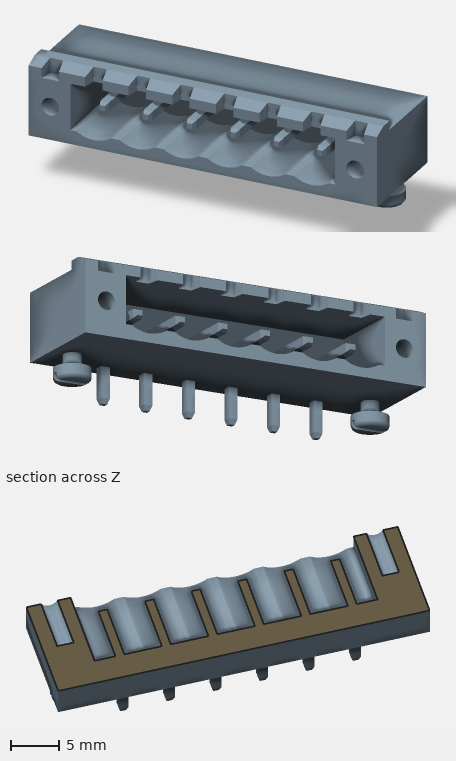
import cadquery as cq


pitch = 5.0
pin_count = 6
pin_xs = [(i - (pin_count - 1) / 2) * pitch for i in range(pin_count)]
flange_x = (pin_count + 1) / 2 * pitch
flange_xs = [-flange_x, flange_x]
notch_xs = [-flange_x] + pin_xs + [flange_x]

length = (pin_count + 2) * pitch
depth = 12.0
rear_height = 7.6
lip_height = 8.6
lip_depth = 3.0
lip_chamfer_run = 1.5
lip_chamfer_drop = 0.6

cavity_length = 30.4
cavity_depth = 9.0
cavity_floor = 1.6
cavity_ceiling = 6.9
scallop_width = 4.0
scallop_sag = 0.6

notch_front_width = 2.0
notch_back_width = 1.5

axis_height = 3.8
flange_hole_diameter = 2.0
flange_hole_depth = 6.0

pin_size = 1.0
pin_tip_size = 0.6
pin_tip_length = 0.6
pin_front_y = 2.0
pin_leg_y = 10.0
pin_drop = 4.0

screw_y = 7.5
shank_diameter = 2.0
shank_length = 1.5
head_diameter = 4.0
head_height = 1.5
head_fillet = 0.5
slot_width = 0.6
slot_depth = 0.8


def make_housing():
    """Box with a raised, chamfered lip along the top front edge."""
    profile = [
        (0, 0),
        (depth, 0),
        (depth, rear_height),
        (lip_depth, rear_height),
        (lip_depth, lip_height),
        (lip_chamfer_run, lip_height),
        (0, lip_height - lip_chamfer_drop),
    ]
    return cq.Workplane("YZ").polyline(profile).close().extrude(length / 2, both=True)


def make_cavity():
    """Mating opening whose floor dips in a shallow arc below each pin."""
    half_length = cavity_length / 2
    outline = cq.Workplane("XZ").moveTo(-half_length, cavity_ceiling).lineTo(-half_length, cavity_floor)
    for x in pin_xs:
        outline = outline.lineTo(x - scallop_width / 2, cavity_floor)
        outline = outline.threePointArc(
            (x, cavity_floor - scallop_sag),
            (x + scallop_width / 2, cavity_floor),
        )
    outline = outline.lineTo(half_length, cavity_floor).lineTo(half_length, cavity_ceiling)
    return outline.close().extrude(-cavity_depth)


def make_notch(x):
    """Tapered notch through the front lip, down to the cavity ceiling."""
    corners = [
        (x - notch_front_width / 2, 0),
        (x + notch_front_width / 2, 0),
        (x + notch_back_width / 2, lip_chamfer_run),
        (x - notch_back_width / 2, lip_chamfer_run),
    ]
    notch = cq.Workplane("XY").workplane(offset=cavity_ceiling)
    return notch.polyline(corners).close().extrude(lip_height - cavity_ceiling)


def make_flange_hole(x):
    """Blind hole opening on the mating face."""
    hole = cq.Workplane("XZ").center(x, axis_height).circle(flange_hole_diameter / 2)
    return hole.extrude(-flange_hole_depth)


def make_bar(plane, bar_length):
    """Square bar along the plane normal, with its far end tapered."""
    straight_length = bar_length - pin_tip_length
    bar = cq.Workplane(plane).rect(pin_size, pin_size).extrude(straight_length)
    tip = bar.faces(cq.selectors.DirectionMinMaxSelector(plane.zDir, True)).workplane()
    tip = tip.rect(pin_size, pin_size).workplane(offset=pin_tip_length)
    return tip.rect(pin_tip_size, pin_tip_size).loft(combine=True)


def make_pin(x):
    """Right-angled pin: a contact toward the front and a solder leg downward."""
    corner_y = pin_leg_y + pin_size / 2
    corner_z = axis_height + pin_size / 2
    contact_plane = cq.Plane((x, corner_y, axis_height), (1, 0, 0), (0, -1, 0))
    leg_plane = cq.Plane((x, pin_leg_y, corner_z), (1, 0, 0), (0, 0, -1))
    contact = make_bar(contact_plane, corner_y - pin_front_y)
    leg = make_bar(leg_plane, corner_z + pin_drop)
    return contact.union(leg)


def make_screw(x):
    """Slotted screw standing out of the underside, its slot running along X."""
    head_bottom = -shank_length - head_height
    head = cq.Workplane("XY", origin=(x, screw_y, head_bottom)).circle(head_diameter / 2).extrude(head_height)
    head = head.faces("<Z").edges().fillet(head_fillet)
    slot = cq.Workplane("XY", origin=(x, screw_y, head_bottom))
    slot = slot.rect(head_diameter, slot_width).extrude(slot_depth)
    shank = cq.Workplane("XY", origin=(x, screw_y, 0)).circle(shank_diameter / 2).extrude(-shank_length)
    return head.cut(slot).union(shank)


result = make_housing().cut(make_cavity())
for notch_x in notch_xs:
    result = result.cut(make_notch(notch_x))
for side_x in flange_xs:
    result = result.cut(make_flange_hole(side_x))
    result = result.union(make_screw(side_x))
for pin_x in pin_xs:
    result = result.union(make_pin(pin_x))